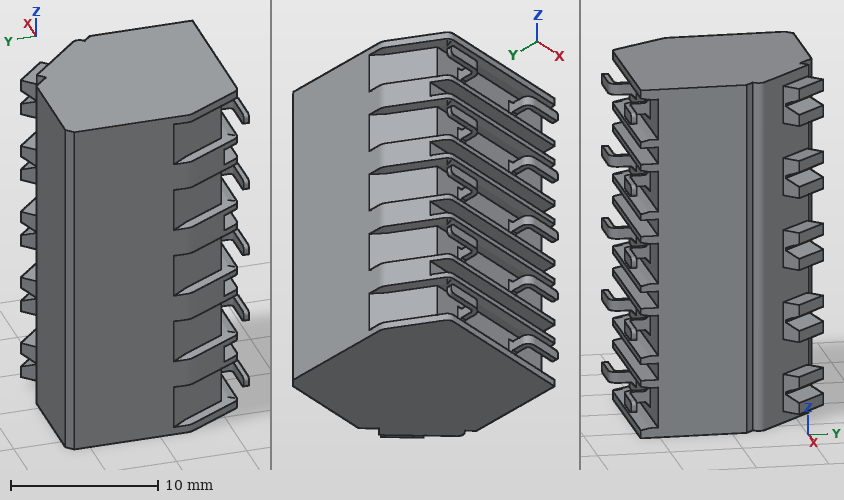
import cadquery as cq
import math

width = 12.7
depth = 12.9
height = 24.52
pole_count = 5
pitch = 5.08
pole_levels = [height / 2 + (i - (pole_count - 1) / 2) * pitch for i in range(pole_count)]
rib_levels = [(low + high) / 2 for low, high in zip(pole_levels, pole_levels[1:])]

slant_angle = 60.0
slant_rise = 4.12
slant_run = slant_rise / math.tan(math.radians(slant_angle))
upper_slant_radius = 0.98
lower_slant_radius = 0.6
back_chamfer = 0.5
notch_x = 7.01
notch_drop = 0.98
face_step = 0.5
face_end_x = 12.6
face_corner_radius = 0.51
shoulder_step = 0.45

pocket_height = 3.1
recess_depth = 1.2
flare_depth = 0.6
flare_height = 0.135
slot_height = 1.15
overshoot = 1.23

face_x = notch_x + notch_drop + face_step
face_y = depth - notch_drop + face_step

button_offset = 0.15
button_length = 2.92
button_rise = 1.3
button_height = 2.62
button_groove_height = 1.03
button_groove_floor = 0.15
button_groove_depth = 1.1
button_root = 0.5

lead_thickness = 0.4
lead_width = 0.75
lead_bottom = -0.61
lead_outer_radius = 0.64
lead_end_radius = 0.27
lead_shoulder_width = 1.5
lead_root = 0.25
left_lead_x = 4.8
left_lead_tip = 1.85
right_lead_x = 9.46
right_lead_tip = 12.4


def round_slant(solid):
    """Round the two upright edges at the ends of the slanted lower corner."""
    upper = cq.selectors.NearestToPointSelector((0, slant_rise, height / 2))
    lower = cq.selectors.NearestToPointSelector((slant_run, 0, height / 2))
    solid = solid.edges("|Z").edges(upper).fillet(upper_slant_radius)
    return solid.edges("|Z").edges(lower).fillet(lower_slant_radius)


def make_block():
    """Full side outline run over the whole row of poles."""
    face_end_y = face_x + face_y - face_end_x
    shoulder_x = face_end_x - shoulder_step
    shoulder_y = face_end_y - shoulder_step
    outline = [
        (0, slant_rise),
        (slant_run, 0),
        (width, 0),
        (width, shoulder_x + shoulder_y - width),
        (shoulder_x, shoulder_y),
        (face_end_x, face_end_y),
        (face_x, face_y),
        (notch_x + notch_drop, depth - notch_drop),
        (notch_x, depth),
        (back_chamfer, depth),
        (0, depth - back_chamfer),
    ]
    block = cq.Workplane("XY").polyline(outline).close().extrude(height)
    face_corner = cq.selectors.NearestToPointSelector((face_end_x, face_end_y, height / 2))
    block = block.edges("|Z").edges(face_corner).fillet(face_corner_radius)
    return round_slant(block)


def make_pocket(level):
    """Recess around one pole, with walls that flare out below the rim."""
    floor_outline = [
        (-overshoot, -overshoot),
        (width + overshoot, -overshoot),
        (width + overshoot, recess_depth),
        (slant_run, recess_depth),
        (0, slant_rise + recess_depth),
        (-overshoot, slant_rise + recess_depth),
    ]
    bottom = level - pocket_height / 2
    recess = cq.Workplane("XY", origin=(0, 0, bottom)).polyline(floor_outline).close().extrude(pocket_height)

    rim_outline = [
        (0, slant_rise),
        (slant_run, 0),
        (width + overshoot, 0),
        (width + overshoot, depth),
        (0, depth),
    ]
    rim = cq.Workplane("XY").polyline(rim_outline).close().extrude(height)
    rim = round_slant(rim).faces("<Z").wires().toPending().workplane(invert=True)
    taper = math.degrees(math.atan(flare_depth / flare_height))
    flare = rim.extrude(flare_height, combine=False, taper=taper)
    lower_flare = flare.translate((0, 0, bottom))
    upper_flare = lower_flare.mirror("XY", (0, 0, level))
    return recess.cut(lower_flare).cut(upper_flare)


def make_slot(level):
    """Straight slot that splits the wall between two poles into two ribs."""
    size_x = width + 2 * overshoot
    slot = cq.Workplane("XY").box(size_x, recess_depth + overshoot, slot_height, centered=(False, False, True))
    return slot.translate((-overshoot, -overshoot, level))


def make_button(level):
    """Block standing on the 45 degree face, with a tapered groove along it."""
    profile = [
        (-button_height / 2, -button_root),
        (button_height / 2, -button_root),
        (button_height / 2, button_rise),
        (button_groove_height / 2, button_rise),
        (button_groove_floor / 2, button_rise - button_groove_depth),
        (-button_groove_floor / 2, button_rise - button_groove_depth),
        (-button_groove_height / 2, button_rise),
        (-button_height / 2, button_rise),
    ]
    inset = button_offset / math.sqrt(2)
    plane = cq.Plane(
        origin=(face_x + inset, face_y - inset, level),
        xDir=(0, 0, 1),
        normal=(-1, 1, 0),
    )
    return cq.Workplane(plane).polyline(profile).close().extrude(-button_length)


def make_lead(level, outer_x, tip_x):
    """Bent strip: shank out of the pocket floor, then a foot running to tip_x."""
    side = math.copysign(1, tip_x - outer_x)
    inner_x = outer_x + side * lead_thickness
    foot_top = lead_bottom + lead_thickness
    bend_x = outer_x + side * lead_outer_radius
    bend_y = lead_bottom + lead_outer_radius
    inner_radius = lead_outer_radius - lead_thickness
    diagonal = math.sqrt(0.5)
    shank_top = recess_depth + lead_root

    def on_bend(radius):
        return (bend_x - side * radius * diagonal, bend_y - radius * diagonal)

    strip = (
        cq.Workplane("XY", origin=(0, 0, level - lead_width / 2))
        .moveTo(outer_x, shank_top)
        .lineTo(outer_x, bend_y)
        .threePointArc(on_bend(lead_outer_radius), (bend_x, lead_bottom))
        .lineTo(tip_x, lead_bottom)
        .lineTo(tip_x, foot_top)
        .lineTo(bend_x, foot_top)
        .threePointArc(on_bend(inner_radius), (inner_x, bend_y))
        .lineTo(inner_x, shank_top)
        .close()
        .extrude(lead_width)
    )
    tip_side = ">X" if side > 0 else "<X"
    strip = strip.faces(tip_side).edges("|Y").fillet(lead_end_radius)

    shoulder_drop = (lead_shoulder_width - lead_width) / 2
    shoulder_outline = [
        (recess_depth - shoulder_drop, -lead_width / 2),
        (recess_depth, -lead_shoulder_width / 2),
        (shank_top, -lead_shoulder_width / 2),
        (shank_top, lead_shoulder_width / 2),
        (recess_depth, lead_shoulder_width / 2),
        (recess_depth - shoulder_drop, lead_width / 2),
    ]
    shoulder = (
        cq.Workplane("YZ", origin=(min(outer_x, inner_x), 0, level))
        .polyline(shoulder_outline)
        .close()
        .extrude(lead_thickness)
    )
    return strip.union(shoulder)


result = make_block()

for level in rib_levels:
    result = result.cut(make_slot(level))

for level in pole_levels:
    result = result.cut(make_pocket(level))
    result = result.union(make_button(level))
    result = result.union(make_lead(level, left_lead_x, left_lead_tip))
    result = result.union(make_lead(level, right_lead_x, right_lead_tip))